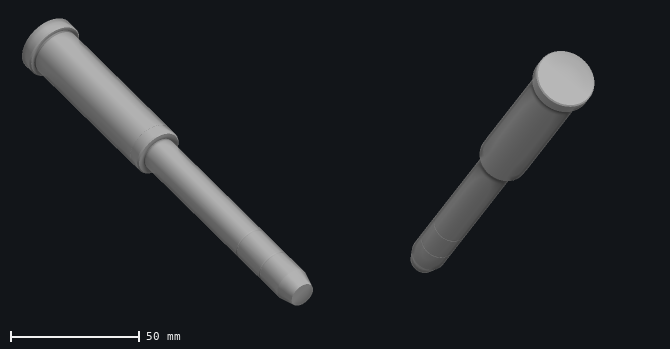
import cadquery as cq
import math

total_length = 171.0
head_length = 6.0
sleeve_end = 75.0
lead_length = 5.1
tip_length = 7.0

head_radius = 24.0 / 2
sleeve_radius = 20.0 / 2
pin_radius = 14.0 / 2

head_chamfer = 0.5
sleeve_chamfer = 0.5
lead_step = 0.09
tip_angle = 15.0

head_relief_width = 1.0
head_relief_depth = 0.3
pin_relief_width = 0.5
pin_relief_depth = 0.2
mark_centers = (137.0, 152.2)
mark_width = 0.9
mark_depth = 0.2


def revolve_about_x(profile):
    """Turn a closed profile, drawn as X against radius, about the X axis."""
    return profile.close().revolve(360, (0, 0, 0), (1, 0, 0))


def make_blank():
    """Stepped body: head, sleeve with a slightly smaller lead section, and tapered pin."""
    lead_start = sleeve_end - lead_length
    lead_radius = sleeve_radius - lead_step
    tip_start = total_length - tip_length
    tip_radius = pin_radius - tip_length * math.tan(math.radians(tip_angle))
    outline = [
        (0, 0),
        (0, head_radius - head_chamfer),
        (head_chamfer, head_radius),
        (head_length - head_chamfer, head_radius),
        (head_length, head_radius - head_chamfer),
        (head_length, sleeve_radius),
        (lead_start, sleeve_radius),
        (lead_start, lead_radius),
        (sleeve_end - sleeve_chamfer, lead_radius),
        (sleeve_end, lead_radius - sleeve_chamfer),
        (sleeve_end, pin_radius),
        (tip_start, pin_radius),
        (total_length, tip_radius),
        (total_length, 0),
    ]
    return revolve_about_x(cq.Workplane("XZ").polyline(outline))


def make_groove_cutter(start, width, depth, radius):
    """Ring that cuts a groove with an arc-shaped floor into a shaft of the given radius."""
    end = start + width
    clear_radius = radius + depth
    profile = (
        cq.Workplane("XZ")
        .moveTo(start, clear_radius)
        .lineTo(start, radius)
        .threePointArc((start + width / 2, radius - depth), (end, radius))
        .lineTo(end, clear_radius)
    )
    return revolve_about_x(profile)


result = make_blank()
result = result.cut(make_groove_cutter(head_length, head_relief_width, head_relief_depth, sleeve_radius))
result = result.cut(make_groove_cutter(sleeve_end, pin_relief_width, pin_relief_depth, pin_radius))
for mark_center in mark_centers:
    mark_start = mark_center - mark_width / 2
    result = result.cut(make_groove_cutter(mark_start, mark_width, mark_depth, pin_radius))